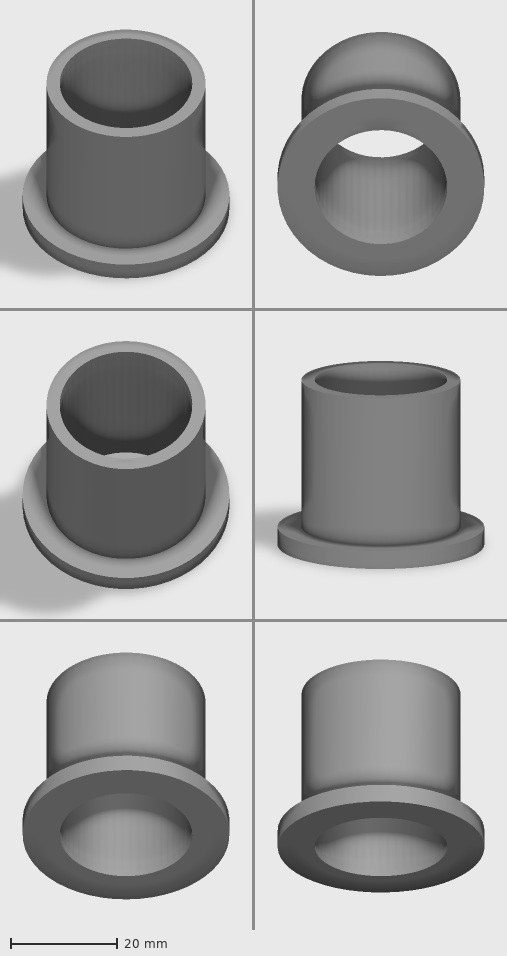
import cadquery as cq

total_height = 32.0
flange_diameter = 39.0
flange_thickness = 3.5
sleeve_diameter = 30.0
bore_diameter = 25.0


def make_flange():
    """Solid disc at the bottom of the bushing."""
    return cq.Workplane("XY").circle(flange_diameter / 2).extrude(flange_thickness)


def add_sleeve(body):
    """Cylindrical sleeve standing on the flange."""
    sleeve_height = total_height - flange_thickness
    return body.faces(">Z").workplane().circle(sleeve_diameter / 2).extrude(sleeve_height)


def cut_bore(body):
    """Straight bore through the full height."""
    return body.faces(">Z").workplane().hole(bore_diameter)


result = cut_bore(add_sleeve(make_flange()))